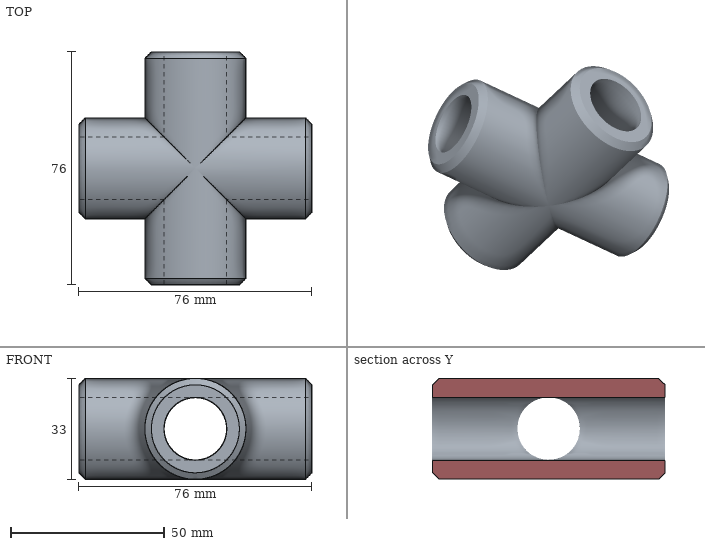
import cadquery as cq

length = 76.0
outer_diameter = 33.0
bore_diameter = 20.4
end_chamfer = 2.1

tube_planes = ("YZ", "XZ")


def centred_cylinder(plane, diameter):
    """Full-length cylinder along the plane normal, centred on the origin."""
    return cq.Workplane(plane).circle(diameter / 2).extrude(length / 2, both=True)


def chamfered_bar(plane):
    """Solid bar with both end rims chamfered."""
    bar = centred_cylinder(plane, outer_diameter)
    return bar.faces("%Plane").edges().chamfer(end_chamfer)


body = cq.Workplane()
for tube_plane in tube_planes:
    body = body.add(chamfered_bar(tube_plane))
body = body.combine()

for tube_plane in tube_planes:
    body = body.cut(centred_cylinder(tube_plane, bore_diameter))

result = body